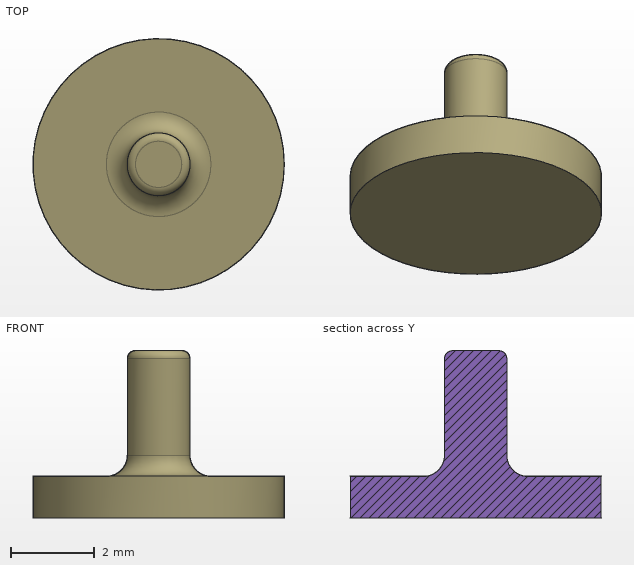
import cadquery as cq

disc_diameter = 6.0
disc_thickness = 1.0
pin_diameter = 1.5
total_height = 4.0
root_fillet_radius = 0.5
tip_fillet_radius = 0.2

pin_height = total_height - disc_thickness

disc = cq.Workplane("XY").circle(disc_diameter / 2).extrude(disc_thickness)

pin = (
    cq.Workplane("XY")
    .workplane(offset=disc_thickness)
    .circle(pin_diameter / 2)
    .extrude(pin_height)
    .faces(">Z")
    .edges()
    .fillet(tip_fillet_radius)
)

root_edge = cq.selectors.RadiusNthSelector(0)
result = (
    disc.union(pin)
    .faces(cq.selectors.NearestToPointSelector((0, 0, disc_thickness)))
    .edges(root_edge)
    .fillet(root_fillet_radius)
)